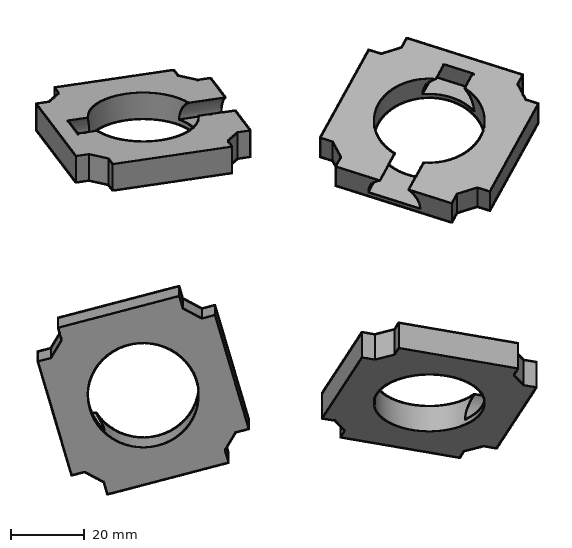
import cadquery as cq
import math

side = 49.8
thickness = 8.0
flat_length = 34.05
notch_shoulder = 3.7

bore_diameter = 30.0
groove_radius = 7.6
groove_mouth = 8.4
groove_offset = -0.15
groove_closed_end = 20.05

half_side = side / 2
half_flat = flat_length / 2
shoulder = half_side - notch_shoulder


def make_plate():
    """Square plate with a chamfered notch at each corner."""
    plate = cq.Workplane("XY").rect(side, side).extrude(thickness)
    for x_sign in (-1, 1):
        for y_sign in (-1, 1):
            corner = [
                (half_side, half_flat),
                (shoulder, half_flat),
                (half_flat, shoulder),
                (half_flat, half_side),
                (half_side, half_side),
            ]
            points = [(x_sign * x, y_sign * y) for x, y in corner]
            notch = cq.Workplane("XY").polyline(points).close().extrude(thickness)
            plate = plate.cut(notch)
    return plate


def make_groove():
    """Undercut groove along Y: a half cylinder on a flat floor, open through the top face."""
    half_mouth = groove_mouth / 2
    depth = math.sqrt(groove_radius**2 - half_mouth**2)
    floor = thickness - depth
    return (
        cq.Workplane("XZ", origin=(groove_offset, half_side, 0))
        .moveTo(-groove_radius, floor)
        .threePointArc((0, floor + groove_radius), (groove_radius, floor))
        .close()
        .extrude(half_side + groove_closed_end)
    )


bore = cq.Workplane("XY").circle(bore_diameter / 2).extrude(thickness)

result = make_plate().cut(bore).cut(make_groove())